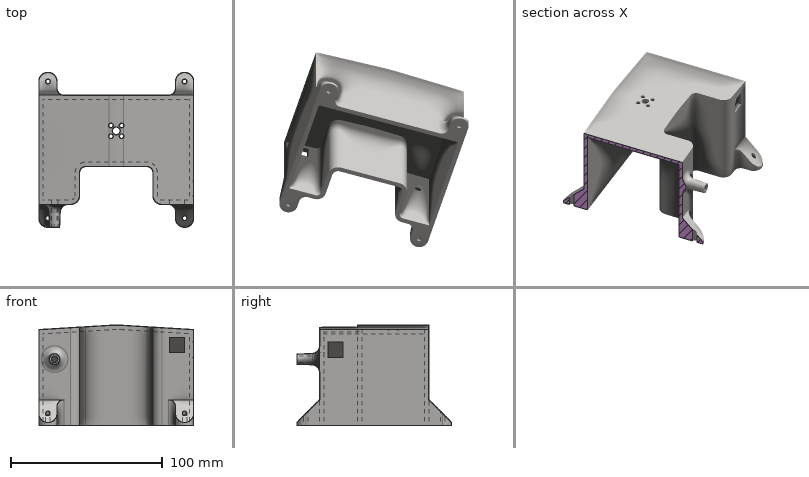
import cadquery as cq
import math

WIDTH = 102.0
DEPTH = 102.0
HEIGHT = 66.2

BODY_DEPTH = 72.0
ROOF_DROP = 3.0
RIDGE_WIDTH = 9.8
RECESS_WIDTH = 48.1
RECESS_BACK_Y = -11.0
RECESS_OUTER_RADIUS = 6.0
RECESS_INNER_RADIUS = 4.0
WALL = 3.0

LUG_WIDTH = 12.0
LUG_HOLE_DIAMETER = 3.0
LUG_EDGE_HEIGHT = 2.0
LUG_ROOT_RADIUS = 4.5

NOZZLE_X = -40.6
NOZZLE_Z = 43.8
NOZZLE_TIP_RADIUS = 3.4
NOZZLE_BASE_RADIUS = 3.8
NOZZLE_FLARE_RADIUS = 5.0
NOZZLE_BORE_DIAMETER = 4.3

WINDOW_SIZE = 10.0
FRONT_WINDOW_X = 40.0
FRONT_WINDOW_Z = 53.0
SIDE_WINDOW_Y = -25.5
SIDE_WINDOW_Z = 50.0

CENTER_HOLE_DIAMETER = 5.0
SMALL_HOLE_DIAMETER = 2.9
SMALL_HOLE_SPACING = 7.0

HALF_WIDTH = WIDTH / 2
HALF_BODY = BODY_DEPTH / 2
FRONT_Y = -HALF_BODY
LUG_LENGTH = (DEPTH - BODY_DEPTH) / 2
LUG_RADIUS = LUG_WIDTH / 2
ROOF_HOLES_Y = (RECESS_BACK_Y + HALF_BODY) / 2


def gabled_block():
    """Block with two sloping roof planes joined by a tangent arc at the ridge."""
    eave_z = HEIGHT - ROOF_DROP
    half_ridge = RIDGE_WIDTH / 2
    slope = math.atan(ROOF_DROP / (HALF_WIDTH - half_ridge / 2))
    shoulder_z = eave_z + (HALF_WIDTH - half_ridge) * math.tan(slope)
    return (
        cq.Workplane("XZ")
        .moveTo(-HALF_WIDTH, 0)
        .lineTo(-HALF_WIDTH, eave_z)
        .lineTo(-half_ridge, shoulder_z)
        .threePointArc((0, HEIGHT), (half_ridge, shoulder_z))
        .lineTo(HALF_WIDTH, eave_z)
        .lineTo(HALF_WIDTH, 0)
        .close()
        .extrude(HALF_BODY, both=True)
    )


def upright_edges(half_span, y):
    """Selector for the upright edges at this y, from -half_span to +half_span in x."""
    margin = WALL / 2
    return cq.selectors.BoxSelector(
        (-half_span - margin, y - margin, 0), (half_span + margin, y + margin, HEIGHT)
    )


def u_prism(inset):
    """Full-height prism of the U-shaped plan, with its walls moved in by inset."""
    half_width = HALF_WIDTH - inset
    half_body = HALF_BODY - inset
    half_recess = RECESS_WIDTH / 2 + inset
    recess_back = RECESS_BACK_Y + inset
    block = cq.Workplane("XY").box(2 * half_width, 2 * half_body, HEIGHT, centered=(True, True, False))
    recess = (
        cq.Workplane("XY")
        .moveTo(-half_recess, -half_body)
        .lineTo(-half_recess, recess_back)
        .lineTo(half_recess, recess_back)
        .lineTo(half_recess, -half_body)
        .close()
        .extrude(HEIGHT)
    )
    inner_corners = upright_edges(half_recess, recess_back)
    mouth_corners = upright_edges(half_recess, -half_body)
    return (
        block.cut(recess)
        .edges("|Z").edges(inner_corners).fillet(RECESS_INNER_RADIUS + inset)
        .edges("|Z").edges(mouth_corners).fillet(RECESS_OUTER_RADIUS - inset)
    )


def housing():
    """Hollow housing, open at the bottom, with walls and roof of equal thickness."""
    outside = gabled_block()
    cavity = outside.translate((0, 0, -WALL)).intersect(u_prism(WALL))
    return outside.intersect(u_prism(0)).cut(cavity)


def front_right_lug():
    """Round-ended lug with a 45 degree top, blended sideways into the front wall."""
    inner_x = HALF_WIDTH - LUG_WIDTH
    center_x = HALF_WIDTH - LUG_RADIUS
    tip_y = -DEPTH / 2
    center_y = tip_y + LUG_RADIUS
    blend = LUG_ROOT_RADIUS
    blend_mid = blend * (1 - math.cos(math.pi / 4))
    root_height = LUG_EDGE_HEIGHT + LUG_LENGTH
    plan = (
        cq.Workplane("XY")
        .moveTo(HALF_WIDTH, FRONT_Y)
        .lineTo(HALF_WIDTH, center_y)
        .threePointArc((center_x, tip_y), (inner_x, center_y))
        .lineTo(inner_x, FRONT_Y - blend)
        .threePointArc((inner_x - blend_mid, FRONT_Y - blend_mid), (inner_x - blend, FRONT_Y))
        .close()
        .extrude(root_height)
    )
    wedge = (
        cq.Workplane("YZ")
        .moveTo(FRONT_Y, 0)
        .lineTo(FRONT_Y, root_height)
        .lineTo(tip_y, LUG_EDGE_HEIGHT)
        .lineTo(tip_y, 0)
        .close()
        .extrude(HALF_WIDTH)
    )
    hole = (
        cq.Workplane("XY")
        .center(center_x, center_y)
        .circle(LUG_HOLE_DIAMETER / 2)
        .extrude(root_height)
    )
    return plan.intersect(wedge).cut(hole)


def nozzle():
    """Tapered spout whose root flares into the front wall along a circular arc."""
    flare = NOZZLE_FLARE_RADIUS
    length = LUG_LENGTH
    taper = math.atan((NOZZLE_BASE_RADIUS - NOZZLE_TIP_RADIUS) / (length - flare))
    turn = math.pi / 2 - taper
    flange_radius = NOZZLE_BASE_RADIUS + flare * math.sin(turn)

    def flare_point(angle):
        return (flange_radius - flare * math.sin(angle), -flare * (1 - math.cos(angle)))

    return (
        cq.Workplane("XY")
        .lineTo(flange_radius, 0)
        .threePointArc(flare_point(turn / 2), flare_point(turn))
        .lineTo(NOZZLE_TIP_RADIUS, -length)
        .lineTo(0, -length)
        .close()
        .revolve(360, (0, 0, 0), (0, 1, 0))
        .translate((NOZZLE_X, FRONT_Y, NOZZLE_Z))
    )


def nozzle_bore():
    """Round passage from the nozzle tip through the front wall into the cavity."""
    return (
        cq.Workplane("XZ", origin=(NOZZLE_X, FRONT_Y + WALL, NOZZLE_Z))
        .circle(NOZZLE_BORE_DIAMETER / 2)
        .extrude(WALL + LUG_LENGTH)
    )


def window(x, y, z, depth_x, depth_y):
    """Cutter of window height, centred at x, y, z."""
    return cq.Workplane("XY").box(depth_x, depth_y, WINDOW_SIZE).translate((x, y, z))


def roof_holes():
    """Central roof hole with four smaller ones at the corners of a square."""
    plane = cq.Workplane("XY", origin=(0, ROOF_HOLES_Y, 0))
    center = plane.circle(CENTER_HOLE_DIAMETER / 2).extrude(HEIGHT)
    corners = (
        plane.rect(SMALL_HOLE_SPACING, SMALL_HOLE_SPACING, forConstruction=True)
        .vertices()
        .circle(SMALL_HOLE_DIAMETER / 2)
        .extrude(HEIGHT)
    )
    return center.union(corners)


result = housing()

front_right = front_right_lug()
front_left = front_right.mirror("YZ")
for lug in (front_right, front_left):
    result = result.union(lug).union(lug.mirror("XZ"))

result = result.union(nozzle()).cut(nozzle_bore()).cut(roof_holes())
result = result.cut(window(FRONT_WINDOW_X, FRONT_Y + WALL / 2, FRONT_WINDOW_Z, WINDOW_SIZE, WALL))
result = result.cut(window(HALF_WIDTH - WALL / 2, SIDE_WINDOW_Y, SIDE_WINDOW_Z, WALL, WINDOW_SIZE))